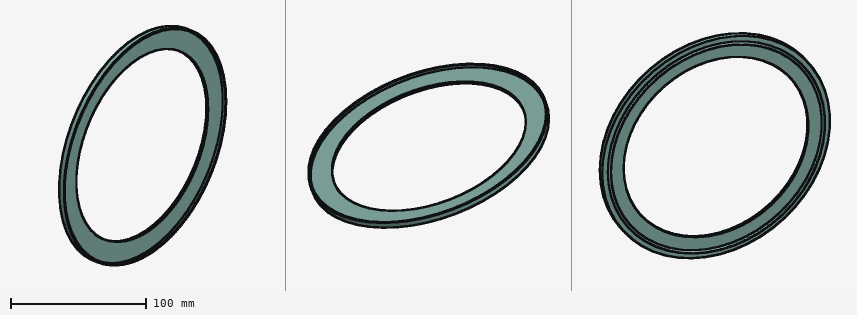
import cadquery as cq

outer_diameter = 185.2
bore_diameter = 150.2
total_depth = 6.5
bead_height = 1.9

recess_diameter = 183.0
web_thickness = 2.0

bead_inner_diameter = 171.7
bead_outer_diameter = 176.3

outer_radius = outer_diameter / 2
recess_radius = recess_diameter / 2
bore_radius = bore_diameter / 2
bead_inner_radius = bead_inner_diameter / 2
bead_outer_radius = bead_outer_diameter / 2
bead_middle_radius = (bead_inner_radius + bead_outer_radius) / 2
bead_crown_radius = (bead_outer_radius - bead_inner_radius) / 2

front_face_x = bead_height
recess_floor_x = front_face_x + web_thickness
crown_start_x = bead_crown_radius

section = (
    cq.Workplane("XY")
    .moveTo(front_face_x, bore_radius)
    .lineTo(front_face_x, bead_inner_radius)
    .lineTo(crown_start_x, bead_inner_radius)
    .threePointArc((0, bead_middle_radius), (crown_start_x, bead_outer_radius))
    .lineTo(front_face_x, bead_outer_radius)
    .lineTo(front_face_x, outer_radius)
    .lineTo(total_depth, outer_radius)
    .lineTo(total_depth, recess_radius)
    .lineTo(recess_floor_x, recess_radius)
    .lineTo(recess_floor_x, bore_radius)
    .close()
)

result = section.revolve(360, (0, 0, 0), (1, 0, 0))